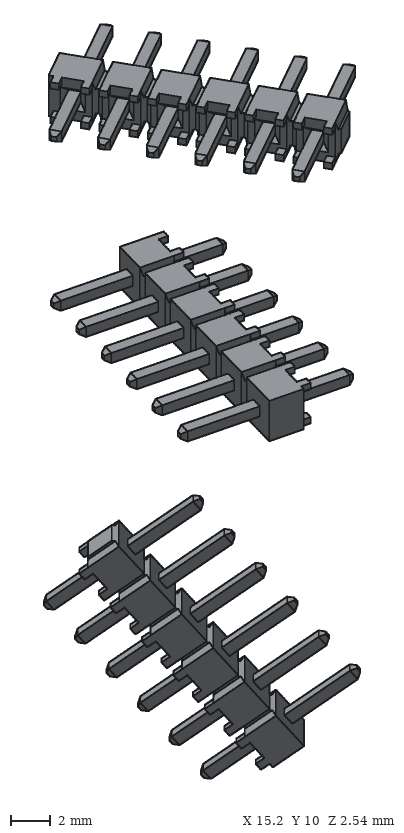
import cadquery as cq


row_length = 15.24
pin_count = 6
pitch = row_length / pin_count

body_depth = 2.01
body_height = pitch
face_width = 2.03
waist_inset = (pitch - face_width) / 2
waist_height = 1.52
waist_slope_run = 0.13

foot_width = 0.44
foot_height = 0.4
foot_length = 0.55

pocket_size = 1.31
pocket_depth = 0.35

pin_size = 0.64
pin_tip_size = 0.29
pin_tip_length = 0.3
pin_front_length = 3.52
pin_back_length = 4.51


def square_taper(start_y, start_size, end_y, end_size):
    """Square bar along Y that changes evenly from one size to the other."""
    return (
        cq.Workplane("XZ", origin=(0, start_y, 0))
        .rect(start_size, start_size)
        .workplane(offset=start_y - end_y)
        .rect(end_size, end_size)
        .loft(ruled=True)
    )


def bevelled_block():
    """Cell block with its upright edges bevelled."""
    block = cq.Workplane("XY").box(pitch, body_depth, body_height)
    return block.edges("|Z").chamfer(waist_inset).translate((0, body_depth / 2, 0))


def waisted_block():
    """Cell block at full height in the middle, sloping down to the waist at each side."""
    half_pitch = pitch / 2
    half_face = face_width / 2
    slope_end = half_face + waist_slope_run
    half_height = body_height / 2
    half_waist = waist_height / 2
    upper = [
        (-half_pitch, half_waist),
        (-slope_end, half_waist),
        (-half_face, half_height),
        (half_face, half_height),
        (slope_end, half_waist),
        (half_pitch, half_waist),
    ]
    lower = [(x, -z) for x, z in reversed(upper)]
    return cq.Workplane("XZ").polyline(upper + lower).close().extrude(-body_depth)


def square_end():
    """Half a cell without bevels or waist, which makes the -X end of the row flat."""
    half_cell = cq.Workplane("XY").box(pitch / 2, body_depth, body_height)
    return half_cell.translate((-pitch / 4, body_depth / 2, 0))


def feet():
    """Four feet in the corners of the cell's front face."""
    x_spacing = face_width - foot_width
    z_spacing = body_height - foot_height
    return (
        cq.Workplane("XZ")
        .rarray(x_spacing, z_spacing, 2, 2)
        .rect(foot_width, foot_height)
        .extrude(foot_length)
    )


def pin():
    """Square pin with a tapered tip at each end."""
    front_end = -pin_front_length
    back_end = body_depth + pin_back_length
    shaft_front = front_end + pin_tip_length
    shaft_back = back_end - pin_tip_length
    shaft = square_taper(shaft_front, pin_size, shaft_back, pin_size)
    front_tip = square_taper(front_end, pin_tip_size, shaft_front, pin_size)
    back_tip = square_taper(shaft_back, pin_size, back_end, pin_tip_size)
    return shaft.union(front_tip).union(back_tip)


cell = bevelled_block().intersect(waisted_block())
pocket = square_taper(0, pocket_size, pocket_depth, pin_size)
fittings = feet().union(pin())

cell_centres = [(index - (pin_count - 1) / 2) * pitch for index in range(pin_count)]

result = square_end().translate((cell_centres[0], 0, 0))
for cell_x in cell_centres:
    result = result.union(cell.translate((cell_x, 0, 0)))

for cell_x in cell_centres:
    result = result.cut(pocket.translate((cell_x, 0, 0)))
    result = result.union(fittings.translate((cell_x, 0, 0)))